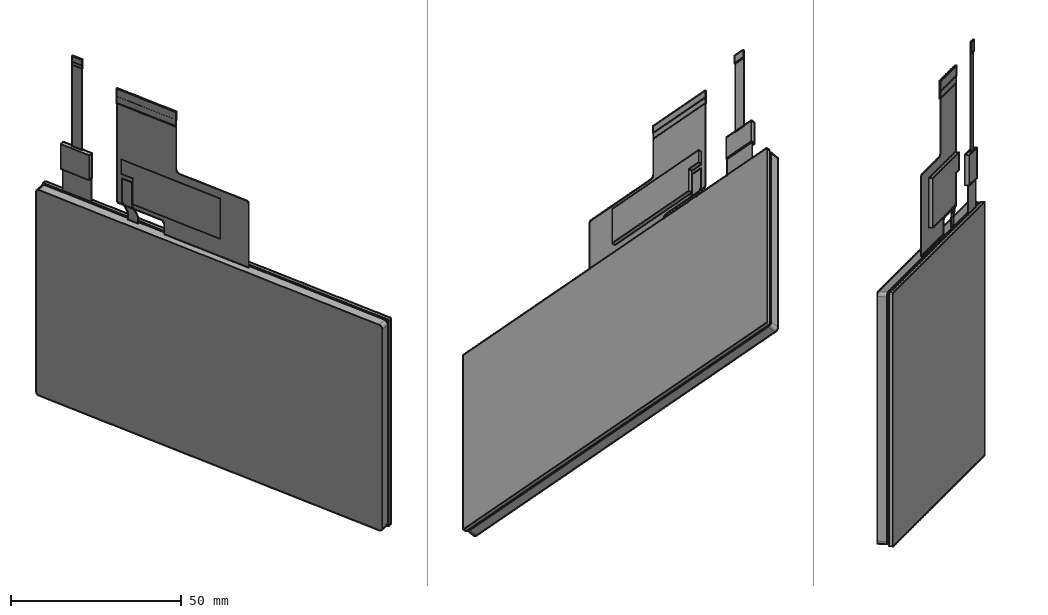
import cadquery as cq


WIDTH = 121.1
PANEL_TOP = 76.3
DEPTH = 4.7
GLASS_DEPTH = 1.1
GLASS_CORNER = 0.4
LCD_BACK = 1.8
LCD_BOTTOM = 0.4
LCD_CORNER = 1.1
ADHESIVE_INSET = 0.4

TOUCH_TOP = 127.4
TOUCH_SHEET_BACK = 1.07
TOUCH_SHEET_FRONT = 1.18
TOUCH_LEFT = 7.0
TOUCH_RIGHT = 17.1
STRIP_WIDTH = 3.5
BLOCK_BOTTOM = 85.0
BLOCK_TOP = 94.1
BLOCK_BACK = 0.8
BLOCK_FRONT = 2.2
TOUCH_STIFFENER_BACK = 0.8
TOUCH_STIFFENER_HEIGHT = 3.3
TOUCH_CONTACT_HEIGHT = 2.0

FLEX_BACK = 2.4
FLEX_THICKNESS = 0.1
FLEX_LEFT = 26.9
FLEX_RIGHT = 73.0
FLEX_NECK_LEFT = 43.5
FLEX_UPPER_RIGHT = 47.6
FLEX_TOP = 123.3
FLEX_STEP = 100.8
FLEX_BOTTOM = 81.1
FLEX_CORNER = 0.8
FLEX_INNER_CORNER = 1.3
FLEX_STIFFENER_THICKNESS = 0.3
FLEX_STIFFENER_HEIGHT = 5.3
FLEX_CONTACT_HEIGHT = 3.0
CONTACT_THICKNESS = 0.06

COVER_LEFT = 28.4
COVER_RIGHT = 62.9
COVER_BOTTOM = 82.7
COVER_TOP = 97.6
COVER_BACK = 1.3
NOTCH_WIDTH = 4.0
NOTCH_TOP = 92.2

TAIL_WIDTH = 3.5
TAIL_LEFT = 30.7
TAIL_TOP_LEFT = 28.5
TAIL_TOP = 90.6
TAIL_BEND_BOTTOM = 79.0
TAIL_BEND_TOP = 82.0
TAIL_BEND_RADIUS = 1.5


def box(left, right, back, front, bottom, top):
    """Block between two X positions, two depths and two heights."""
    return cq.Workplane("XY").box(
        right - left, front - back, top - bottom, centered=False
    ).translate((left, -front, bottom))


def sheet(points, back, front):
    """Upright plate with an (X, Z) outline, between two depths."""
    plane = cq.Workplane("XZ", origin=(0, -back, 0))
    return plane.polyline(points).close().extrude(front - back)


def round_at(plate, corner, radius):
    """Round the edge of a plate that runs along Y nearest to an (X, Z) corner."""
    x, z = corner
    nearest = cq.selectors.NearestToPointSelector((x, plate.val().Center().y, z))
    return plate.edges("|Y").edges(nearest).fillet(radius)


def make_touch_panel():
    glass = box(0, WIDTH, 0, GLASS_DEPTH, 0, PANEL_TOP).edges("|Y").fillet(GLASS_CORNER)
    adhesive = box(
        ADHESIVE_INSET, WIDTH - ADHESIVE_INSET, GLASS_DEPTH, LCD_BACK,
        LCD_BOTTOM + ADHESIVE_INSET, PANEL_TOP - ADHESIVE_INSET,
    )
    return glass.union(adhesive).union(make_touch_flex())


def make_touch_flex():
    root = PANEL_TOP - 2 * ADHESIVE_INSET
    middle = (TOUCH_LEFT + TOUCH_RIGHT) / 2
    strip_left = middle - STRIP_WIDTH / 2
    strip_right = middle + STRIP_WIDTH / 2
    base = box(TOUCH_LEFT, TOUCH_RIGHT, TOUCH_SHEET_BACK, TOUCH_SHEET_FRONT, root, BLOCK_TOP)
    strip = box(
        strip_left, strip_right, TOUCH_SHEET_BACK, TOUCH_SHEET_FRONT, BLOCK_BOTTOM, TOUCH_TOP
    )
    block = box(TOUCH_LEFT, TOUCH_RIGHT, BLOCK_BACK, BLOCK_FRONT, BLOCK_BOTTOM, BLOCK_TOP)
    stiffener = box(
        strip_left, strip_right, TOUCH_STIFFENER_BACK, TOUCH_SHEET_BACK,
        TOUCH_TOP - TOUCH_STIFFENER_HEIGHT, TOUCH_TOP,
    )
    contacts = box(
        strip_left, strip_right, TOUCH_SHEET_FRONT, TOUCH_SHEET_FRONT + CONTACT_THICKNESS,
        TOUCH_TOP - TOUCH_CONTACT_HEIGHT, TOUCH_TOP,
    )
    return base.union(strip).union(block).union(stiffener).union(contacts)


def make_display():
    frame = box(0, WIDTH, LCD_BACK, DEPTH, LCD_BOTTOM, PANEL_TOP).edges("|Y").fillet(LCD_CORNER)
    flex = make_display_flex()
    return frame.union(flex).union(make_cover()).union(make_backlight_tail())


def make_display_flex():
    front = FLEX_BACK + FLEX_THICKNESS
    outline = [
        (FLEX_NECK_LEFT, PANEL_TOP),
        (FLEX_RIGHT, PANEL_TOP),
        (FLEX_RIGHT, FLEX_STEP),
        (FLEX_UPPER_RIGHT, FLEX_STEP),
        (FLEX_UPPER_RIGHT, FLEX_TOP),
        (FLEX_LEFT, FLEX_TOP),
        (FLEX_LEFT, FLEX_BOTTOM),
        (FLEX_NECK_LEFT, FLEX_BOTTOM),
    ]
    flex = sheet(outline, FLEX_BACK, front)
    flex = round_at(flex, (FLEX_RIGHT, FLEX_STEP), FLEX_CORNER)
    flex = round_at(flex, (FLEX_LEFT, FLEX_BOTTOM), FLEX_CORNER)
    flex = round_at(flex, (FLEX_NECK_LEFT, FLEX_BOTTOM), FLEX_INNER_CORNER)
    flex = round_at(flex, (FLEX_UPPER_RIGHT, FLEX_STEP), FLEX_INNER_CORNER)
    stiffener = box(
        FLEX_LEFT, FLEX_UPPER_RIGHT, front, front + FLEX_STIFFENER_THICKNESS,
        FLEX_TOP - FLEX_STIFFENER_HEIGHT, FLEX_TOP,
    )
    contacts = box(
        FLEX_LEFT, FLEX_UPPER_RIGHT,
        FLEX_BACK - CONTACT_THICKNESS, FLEX_BACK,
        FLEX_TOP - FLEX_CONTACT_HEIGHT, FLEX_TOP,
    )
    return flex.union(stiffener).union(contacts)


def make_cover():
    cover = box(COVER_LEFT, COVER_RIGHT, COVER_BACK, FLEX_BACK, COVER_BOTTOM, COVER_TOP)
    notch = box(
        COVER_LEFT, COVER_LEFT + NOTCH_WIDTH, COVER_BACK, FLEX_BACK, COVER_BOTTOM, NOTCH_TOP
    )
    return cover.cut(notch)


def make_backlight_tail():
    left_edge = [
        (TAIL_TOP_LEFT, TAIL_TOP),
        (TAIL_TOP_LEFT, TAIL_BEND_TOP),
        (TAIL_LEFT, TAIL_BEND_BOTTOM),
        (TAIL_LEFT, PANEL_TOP),
    ]
    right_edge = [(x + TAIL_WIDTH, z) for x, z in reversed(left_edge)]
    tail = sheet(left_edge + right_edge, FLEX_BACK - FLEX_THICKNESS, FLEX_BACK)
    for x, z in left_edge[1:3] + right_edge[1:3]:
        tail = round_at(tail, (x, z), TAIL_BEND_RADIUS)
    return tail


touch_panel = make_touch_panel()
display = make_display()

result = cq.Compound.makeCompound([touch_panel.val(), display.val()])